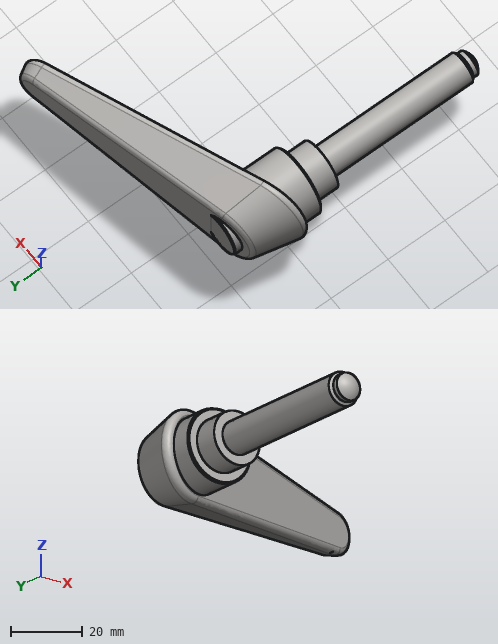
import cadquery as cq
import math


lower_slope = 20.0
lower_height = 10.8
lower_head_half_width = 14.0
lower_tip_half_width = 6.9
lower_reach = 69.5

upper_slope = 13.4
upper_height = 26.8
upper_head_half_width = 10.3
upper_tip_half_width = 5.2
upper_reach = 67.2

lower_fillet = 1.9
upper_fillet = 1.7

hub_radius = 11.1
hub_chamfer = 0.4
button_radius = 7.2
button_top = 27.7
button_chamfer = 0.3

collar_radius = 8.0
collar_length = 8.0
shaft_radius = 5.1
shaft_end = 57.6
shaft_chamfer = 0.8
nose_radius = 4.1
nose_length = 1.7
dome_height = 1.7


def arm_face_outline(slope, height, head_half_width, tip_half_width, reach):
    """Closed outline of one sloping face: tangent head and tip arcs joined by straight sides."""
    angle = math.radians(slope)
    length = reach / math.cos(angle)
    narrowing = math.atan((head_half_width - tip_half_width) / length)
    head_depth = head_half_width * (1 + math.sin(narrowing)) / math.cos(narrowing)
    tip_depth = tip_half_width * (1 - math.sin(narrowing)) / math.cos(narrowing)
    face_plane = cq.Plane(
        origin=(0, height, 0),
        xDir=(math.cos(angle), math.sin(angle), 0),
        normal=(-math.sin(angle), math.cos(angle), 0),
    )
    return (
        cq.Workplane(face_plane)
        .moveTo(0, head_half_width)
        .threePointArc((-head_depth, 0), (0, -head_half_width))
        .lineTo(length, -tip_half_width)
        .threePointArc((length + tip_depth, 0), (length, tip_half_width))
        .close()
        .val()
    )


def make_arm():
    lower_face = arm_face_outline(
        lower_slope, lower_height, lower_head_half_width, lower_tip_half_width, lower_reach
    )
    upper_face = arm_face_outline(
        upper_slope, upper_height, upper_head_half_width, upper_tip_half_width, upper_reach
    )
    blank = cq.Workplane(cq.Solid.makeLoft([lower_face, upper_face], True))
    lower_rounded = blank.faces("%PLANE").faces("<Y").edges().fillet(lower_fillet)
    return lower_rounded.faces("%PLANE").faces(">Y").edges().fillet(upper_fillet)


def cylinder_up(radius, start, end):
    """Cylinder about the clamping axis between two Y levels."""
    base_center = cq.Vector(0, start, 0)
    direction = cq.Vector(0, 1, 0)
    return cq.Workplane(cq.Solid.makeCylinder(radius, end - start, base_center, direction))


def make_lever():
    arm = make_arm()
    arm_middle = (lower_height + upper_height) / 2
    hub = cylinder_up(hub_radius, 0, arm_middle).faces("<Y").chamfer(hub_chamfer)
    button = cylinder_up(button_radius, arm_middle, button_top).faces(">Y").chamfer(button_chamfer)
    return arm.union(hub).union(button)


def make_stud():
    nose_start = shaft_end + shaft_chamfer
    nose_end = nose_start + nose_length
    tip = nose_end + dome_height
    dome_radius = (nose_radius**2 + dome_height**2) / (2 * dome_height)
    half_angle = math.asin(nose_radius / dome_radius) / 2
    dome_middle = (
        dome_radius * math.sin(half_angle),
        -tip + dome_radius * (1 - math.cos(half_angle)),
    )
    return (
        cq.Workplane("XY")
        .lineTo(collar_radius, 0)
        .lineTo(collar_radius, -collar_length)
        .lineTo(shaft_radius, -collar_length)
        .lineTo(shaft_radius, -shaft_end)
        .lineTo(nose_radius, -nose_start)
        .lineTo(nose_radius, -nose_end)
        .threePointArc(dome_middle, (0, -tip))
        .close()
        .revolve(360, (0, 0, 0), (0, 1, 0))
    )


lever = make_lever()
stud = make_stud()
result = cq.Compound.makeCompound([lever.val(), stud.val()])